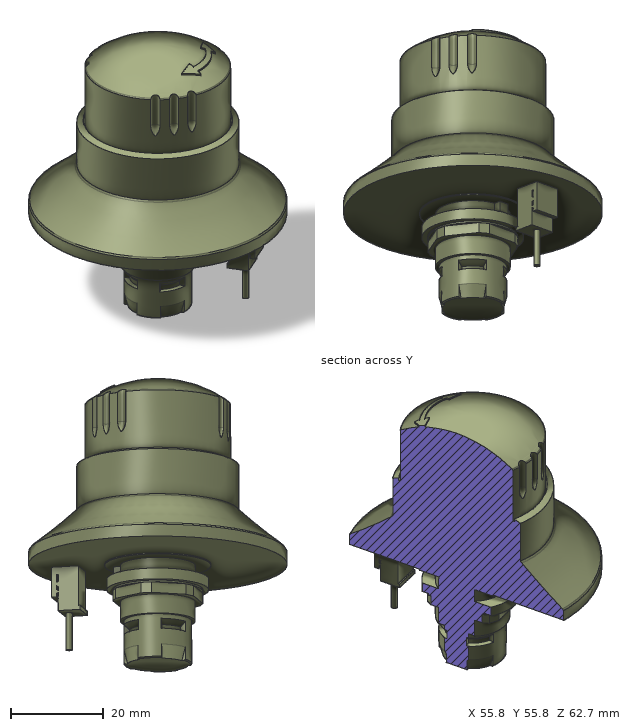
import cadquery as cq
import math


overall_height = 62.65

base_radius = 55.8 / 2
base_rim_height = 2.6
base_bevel = 0.25
base_bevel_height = 0.4
flare_bottom_z = base_rim_height + base_bevel_height
flare_middle_radius = 22.8
flare_middle_z = 6.9
flare_top_radius = 17.85
flare_top_z = 11.35

collar_radius = 35.0 / 2
collar_bottom_z = 11.7
collar_wall_top_z = 21.7
collar_top_z = 22.3
collar_bore_radius = 16.1
collar_gap_depth = 0.6

cap_radius = 31.5 / 2
cap_wall_top_z = 35.1
dome_edge_radius = 15.55
dome_edge_z = 35.35
dome_top_z = 40.5
dome_height = dome_top_z - dome_edge_z
dome_sphere_radius = (dome_edge_radius**2 + dome_height**2) / (2 * dome_height)
dome_center_z = dome_top_z - dome_sphere_radius

groove_radius = 1.0
groove_axis_radius = 15.85
groove_bottom_z = 28.7
groove_tip_length = 2.45
groove_tip_arc_radius = (groove_radius**2 + groove_tip_length**2) / (2 * groove_radius)
groove_group_angles = (60, 180, 300)
groove_step_angle = 15

arrow_height = 0.3
arrow_shaft_inner_radius = 10.4
arrow_shaft_outer_radius = 11.6
arrow_shaft_inner_angle = 25.4
arrow_shaft_outer_angle = 24.5
arrow_tip = (7.75, 7.8)
arrow_outer_barb = (11.4, 5.4)
arrow_inner_barb = (8.4, 4.1)

seal_radius = 23.0 / 2
seal_thickness = 0.25
stem_radius = 16.15 / 2
stem_bottom_z = -12.5
washer_radius = 22.0 / 2
washer_top_z = -3.25
washer_bottom_z = -5.65
nut_across_flats = 18.05
nut_across_corners = 19.5
nut_half_corner_angle = 30
nut_top_z = -6.0
nut_bottom_z = -8.35

plug_radius = 14.65 / 2
plug_bottom_z = dome_top_z - overall_height
plug_chamfer = 0.25
window_width = 6.15
window_top_z = -13.55
window_inner_top_z = -14.65
window_bottom_z = -15.7
window_floor_radius = 6.15
notch_width = 5.9
notch_top_z = -19.25
notch_bottom_floor_radius = 6.6
plug_cut_side_angle = 38
plug_cut_angles = (45, 135, 225, 315)

tab_outer_x = 9.6
tab_width = 2.5
tab_height = 2.5

block_width = 6.25
block_inner_x = 16.9
block_outer_x = 21.4
block_top_z = -1.7
block_bottom_z = -9.65
foot_inner_x = 16.55
foot_top_z = -8.7
arm_inner_x = 21.8
arm_outer_x = 22.9
arm_bottom_z = -6.6
block_ridge_z = (-3.1, -4.4)
arm_ridge_z = (-4.9, -5.9)
ridge_chamfer = 0.25
web_bottom_z = -6.4
web_inset = 0.4
pin_radius = 1.4 / 2
pin_x = 19.8
pin_bottom_z = -17.8


def disc(radius, top_z, bottom_z):
    """Round disc on the button axis."""
    return cq.Workplane("XY").workplane(offset=bottom_z).circle(radius).extrude(top_z - bottom_z)


def block(x_range, width, z_range):
    """Box centred on Y = 0 with the given X and Z ranges."""
    x_low, x_high = x_range
    z_low, z_high = z_range
    return (
        cq.Workplane("XY")
        .box(x_high - x_low, width, z_high - z_low, centered=(False, True, False))
        .translate((x_low, 0, z_low))
    )


def make_head():
    """Flared base, collar and domed cap as one revolved body."""
    dome_middle_radius = dome_edge_radius / 2
    dome_middle_z = dome_center_z + math.sqrt(dome_sphere_radius**2 - dome_middle_radius**2)
    return (
        cq.Workplane("XZ")
        .moveTo(0, 0)
        .lineTo(base_radius, 0)
        .lineTo(base_radius, base_rim_height)
        .lineTo(base_radius - base_bevel, flare_bottom_z)
        .threePointArc((flare_middle_radius, flare_middle_z), (flare_top_radius, flare_top_z))
        .lineTo(collar_radius, collar_bottom_z)
        .lineTo(collar_radius, collar_wall_top_z)
        .lineTo(collar_bore_radius, collar_top_z)
        .lineTo(collar_bore_radius, collar_top_z - collar_gap_depth)
        .lineTo(cap_radius, collar_top_z - collar_gap_depth)
        .lineTo(cap_radius, cap_wall_top_z)
        .lineTo(dome_edge_radius, dome_edge_z)
        .threePointArc((dome_middle_radius, dome_middle_z), (0, dome_top_z))
        .close()
        .revolve()
    )


def make_finger_grooves():
    """Round-bottomed upright grooves that end in a pointed arch."""
    tip_half_angle = math.asin(groove_tip_length / groove_tip_arc_radius) / 2
    tip_middle = (
        groove_radius - groove_tip_arc_radius * (1 - math.cos(tip_half_angle)),
        groove_bottom_z - groove_tip_arc_radius * math.sin(tip_half_angle),
    )
    groove = (
        cq.Workplane("XZ")
        .moveTo(0, groove_bottom_z - groove_tip_length)
        .threePointArc(tip_middle, (groove_radius, groove_bottom_z))
        .lineTo(groove_radius, dome_top_z)
        .lineTo(0, dome_top_z)
        .close()
        .revolve()
        .translate((groove_axis_radius, 0, 0))
    )
    grooves = cq.Workplane("XY")
    for group_angle in groove_group_angles:
        for step in (-1, 0, 1):
            angle = group_angle + step * groove_step_angle
            grooves = grooves.add(groove.rotate((0, 0, 0), (0, 0, 1), angle))
    return grooves.combine()


def make_arrow():
    """Curved double-headed arrow that follows the dome."""

    def on_circle(radius, angle):
        return radius * math.cos(math.radians(angle)), radius * math.sin(math.radians(angle))

    def mirrored(point):
        return point[0], -point[1]

    outer_end = on_circle(arrow_shaft_outer_radius, arrow_shaft_outer_angle)
    inner_end = on_circle(arrow_shaft_inner_radius, arrow_shaft_inner_angle)
    outline = (
        cq.Workplane("XY")
        .workplane(offset=dome_edge_z)
        .moveTo(*mirrored(outer_end))
        .threePointArc((arrow_shaft_outer_radius, 0), outer_end)
        .lineTo(*arrow_outer_barb)
        .lineTo(*arrow_tip)
        .lineTo(*arrow_inner_barb)
        .lineTo(*inner_end)
        .threePointArc((arrow_shaft_inner_radius, 0), mirrored(inner_end))
        .lineTo(*mirrored(arrow_inner_barb))
        .lineTo(*mirrored(arrow_tip))
        .lineTo(*mirrored(arrow_outer_barb))
        .close()
        .extrude(dome_height)
    )
    raised_dome = cq.Workplane("XY").sphere(dome_sphere_radius + arrow_height)
    return outline.intersect(raised_dome.translate((0, 0, dome_center_z)))


def make_nut():
    """Hexagonal nut with flats toward +X and -X and its corners cut flat."""

    def hexagon(across_flats, flat_angle):
        corner_diameter = across_flats / math.cos(math.radians(nut_half_corner_angle))
        prism = (
            cq.Workplane("XY")
            .workplane(offset=nut_bottom_z)
            .polygon(6, corner_diameter)
            .extrude(nut_top_z - nut_bottom_z)
        )
        return prism.rotate((0, 0, 0), (0, 0, 1), flat_angle - nut_half_corner_angle)

    flats = hexagon(nut_across_flats, 0)
    return flats.intersect(hexagon(nut_across_corners, nut_half_corner_angle))


def make_stem():
    """Seal, stem, washer, nut and plug below the base."""
    plug = disc(plug_radius, stem_bottom_z, plug_bottom_z).faces("<Z").chamfer(plug_chamfer)
    return (
        disc(stem_radius, 0, stem_bottom_z)
        .union(disc(seal_radius, 0, -seal_thickness))
        .union(disc(washer_radius, washer_top_z, washer_bottom_z))
        .union(disc(nut_across_corners / 2, washer_bottom_z, nut_top_z))
        .union(make_nut())
        .union(plug)
    )


def make_cut_wedge(mouth_width):
    """Upright wedge that opens outward to the given width at the plug wall."""
    side_slope = math.tan(math.radians(plug_cut_side_angle))
    mouth_x = math.sqrt(plug_radius**2 - (mouth_width / 2) ** 2)
    apex_x = mouth_x - mouth_width / 2 / side_slope
    outer_half_width = (plug_radius - apex_x) * side_slope
    return (
        cq.Workplane("XY")
        .workplane(offset=plug_bottom_z)
        .polyline([(apex_x, 0), (plug_radius, -outer_half_width), (plug_radius, outer_half_width)])
        .close()
        .extrude(stem_bottom_z - plug_bottom_z)
    )


def make_plug_cuts():
    """Windows with a sloping roof and notches with a tapering floor, on the four diagonals."""
    window_ring = (
        cq.Workplane("XZ")
        .moveTo(window_floor_radius, window_bottom_z)
        .lineTo(plug_radius, window_bottom_z)
        .lineTo(plug_radius, window_top_z)
        .lineTo(window_floor_radius, window_inner_top_z)
        .close()
        .revolve()
    )
    notch_ring = (
        cq.Workplane("XZ")
        .moveTo(notch_bottom_floor_radius, plug_bottom_z)
        .lineTo(plug_radius, plug_bottom_z)
        .lineTo(plug_radius, notch_top_z)
        .close()
        .revolve()
    )
    window = window_ring.intersect(make_cut_wedge(window_width))
    notch = notch_ring.intersect(make_cut_wedge(notch_width))
    cuts = cq.Workplane("XY")
    for angle in plug_cut_angles:
        for cutter in (window, notch):
            cuts = cuts.add(cutter.rotate((0, 0, 0), (0, 0, 1), angle))
    return cuts.combine()


def make_ridge(z_range, root_x, crest_x):
    """Tapered ridge that bridges the gap between the block and the arm."""
    z_high, z_low = z_range
    return (
        cq.Workplane("XZ")
        .polyline([
            (root_x, z_high),
            (crest_x, z_high - ridge_chamfer),
            (crest_x, z_low + ridge_chamfer),
            (root_x, z_low),
        ])
        .close()
        .extrude(block_width / 2, both=True)
    )


def make_terminal():
    """Terminal block held by an angled arm, with one contact pin."""
    pin = disc(pin_radius, block_bottom_z, pin_bottom_z).translate((pin_x, 0, 0))
    return (
        block((block_inner_x, arm_outer_x), block_width, (block_top_z, 0))
        .union(block((arm_inner_x, arm_outer_x), block_width, (arm_bottom_z, block_top_z)))
        .union(block((block_inner_x, block_outer_x), block_width, (block_bottom_z, block_top_z)))
        .union(block((foot_inner_x, block_outer_x), block_width, (block_bottom_z, foot_top_z)))
        .union(block((block_outer_x, arm_inner_x), block_width - 2 * web_inset, (web_bottom_z, block_top_z)))
        .union(make_ridge(block_ridge_z, block_outer_x, arm_inner_x))
        .union(make_ridge(arm_ridge_z, arm_inner_x, block_outer_x))
        .union(pin)
    )


head = make_head().union(make_arrow()).cut(make_finger_grooves())
stem = make_stem().cut(make_plug_cuts())
tab = block((0, tab_outer_x), tab_width, (-tab_height, 0))
result = head.union(stem).union(tab).union(make_terminal())